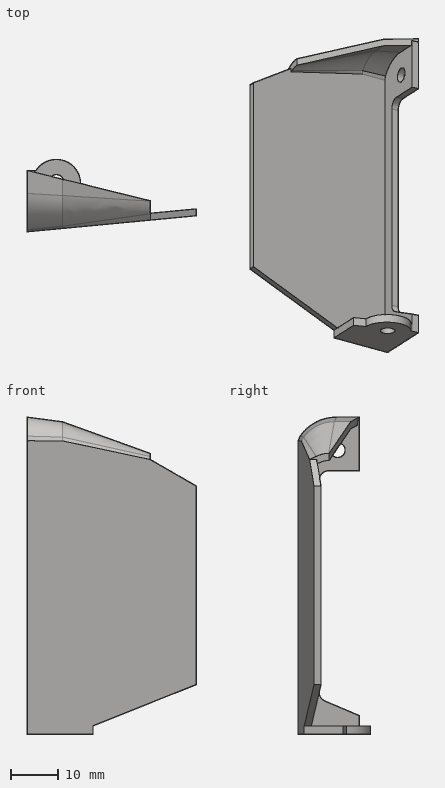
import cadquery as cq
import math

length = 35.83
depth = 15.36
height = 67.1

sheet = 1.5
wall = 1.6
wall_depth = 13.0
tip_front_y = 3.4

plate_top = 62.05
far_top = 52.5
far_bottom = 10.5
foot_length = 13.95
flange = 1.75

knee_x = 7.5
knee_top = height - 1.0
hood_end_x = 26.1
hood_end_top = 59.4
hood_end_depth = 6.6
hood_end_plate_z = 58.1
skirt = 0.8

rim_depth = 4.5
head_bottom = 55.7
gusset_height = 3.95
gusset_angle = 23.0
opening_radius = 2.0

hole_diameter = 3.1
wall_hole_y = 8.4
wall_hole_z = 60.1
ear_radius = 5.15
ear_x = 6.2
ear_y = depth - ear_radius
ear_hole_y = depth - 4.8


def between(x, x0, x1, v0, v1):
    """Value at x on the straight line from (x0, v0) to (x1, v1)."""
    return v0 + (v1 - v0) * (x - x0) / (x1 - x0)


def front_y(x):
    """Front face, leaning back toward the far edge."""
    return between(x, 0, length, 0, tip_front_y)


def back_y(x):
    """Open rear edge of the hood."""
    return between(x, 0, hood_end_x, wall_depth, hood_end_depth)


def hood_station(x, top, crown_y, shoulder_y, shoulder_z, plate_z):
    """Hood cross-section: flat roof, arc from crown to shoulder, short facet to the plate."""
    return dict(x=x, back=back_y(x), front=front_y(x), top=top, crown_y=crown_y,
                shoulder_y=shoulder_y, shoulder_z=shoulder_z, plate_z=plate_z)


stations = [
    hood_station(x=0, top=height, crown_y=8.15, shoulder_y=0.45, shoulder_z=63.06, plate_z=plate_top),
    hood_station(x=knee_x, top=knee_top, crown_y=7.7, shoulder_y=1.2, shoulder_z=62.85, plate_z=plate_top),
    hood_station(x=hood_end_x, top=hood_end_top, crown_y=6.5, shoulder_y=3.85, shoulder_z=58.75,
                 plate_z=hood_end_plate_z),
]


def roof_arc(s, inset):
    """Crown, middle and shoulder (Y, Z) of the roof arc, which is level at the crown."""
    across = s["crown_y"] - s["shoulder_y"]
    fall = s["top"] - s["shoulder_z"]
    radius = (across ** 2 + fall ** 2) / (2 * fall)
    center_z = s["top"] - radius
    sweep = math.asin(across / radius)
    r = radius - inset
    return [(s["crown_y"] - r * math.sin(a), center_z + r * math.cos(a)) for a in (0, sweep / 2, sweep)]


def hood_wire(s):
    """Closed outline of the hood sheet at one station."""
    outer = roof_arc(s, 0)
    inner = roof_arc(s, sheet)
    inner_front = s["front"] + sheet
    low = s["plate_z"] - skirt
    return (
        cq.Workplane("YZ", origin=(s["x"], 0, 0))
        .moveTo(s["back"], s["top"])
        .lineTo(*outer[0])
        .threePointArc(outer[1], outer[2])
        .lineTo(s["front"], s["plate_z"])
        .lineTo(s["front"], low)
        .lineTo(inner_front, low)
        .lineTo(*inner[2])
        .threePointArc(inner[1], inner[0])
        .lineTo(s["back"], s["top"] - sheet)
        .close()
        .val()
    )


def make_hood():
    """Rounded hood, ruled from station to station and open at the rear."""
    body = None
    for start, end in zip(stations, stations[1:]):
        bay = cq.Workplane(cq.Solid.makeLoft([hood_wire(start), hood_wire(end)], True))
        body = bay if body is None else body.union(bay)
    return body


def make_plate():
    """Leaning front plate, trimmed to its outline."""
    band = (
        cq.Workplane("XY")
        .polyline([
            (0, 0), (length, tip_front_y), (length, tip_front_y + sheet), (0, sheet),
        ])
        .close()
        .extrude(height)
    )
    outline = (
        cq.Workplane("XZ")
        .polyline([
            (0, 0), (foot_length, 0), (foot_length, flange), (length, far_bottom), (length, far_top),
            (hood_end_x, hood_end_plate_z), (knee_x, plate_top), (0, plate_top),
        ])
        .close()
        .extrude(-depth)
    )
    return band.intersect(outline)


def make_end_wall():
    """C-shaped wall whose top edge lies inside the thickness of the hood."""
    s = stations[0]
    crown, middle, shoulder = roof_arc(s, sheet / 2)
    gusset_root = gusset_height + (wall_depth - rim_depth) * math.tan(math.radians(gusset_angle))
    body = (
        cq.Workplane("YZ")
        .moveTo(0, 0)
        .lineTo(wall_depth, 0)
        .lineTo(wall_depth, gusset_height)
        .lineTo(rim_depth, gusset_root)
        .lineTo(rim_depth, head_bottom)
        .lineTo(wall_depth, head_bottom)
        .lineTo(wall_depth, crown[1])
        .lineTo(*crown)
        .threePointArc(middle, shoulder)
        .lineTo(0, plate_top)
        .close()
        .extrude(wall)
    )
    margin = 0.1
    inner_corners = cq.selectors.BoxSelector(
        (0, rim_depth - margin, gusset_root - margin), (wall, rim_depth + margin, head_bottom + margin)
    )
    body = body.edges("|X").edges(inner_corners).fillet(opening_radius)
    hole = (
        cq.Workplane("YZ")
        .center(wall_hole_y, wall_hole_z)
        .circle(hole_diameter / 2)
        .extrude(wall)
    )
    front_sliver = (
        cq.Workplane("XY")
        .polyline([(0, 0), (wall, front_y(wall)), (wall, 0)])
        .close()
        .extrude(height)
    )
    return body.cut(hole).cut(front_sliver)


def make_flange():
    """Bottom flange with a round screw ear at the rear."""
    base = (
        cq.Workplane("XY")
        .polyline([
            (0, 0), (foot_length, front_y(foot_length)), (foot_length, back_y(foot_length)),
            (wall, wall_depth), (0, wall_depth),
        ])
        .close()
        .extrude(flange)
    )
    ear = cq.Workplane("XY").center(ear_x, ear_y).circle(ear_radius).extrude(flange)
    hole = cq.Workplane("XY").center(ear_x, ear_hole_y).circle(hole_diameter / 2).extrude(flange)
    return base.union(ear).cut(hole)


result = make_plate().union(make_end_wall()).union(make_hood()).union(make_flange())